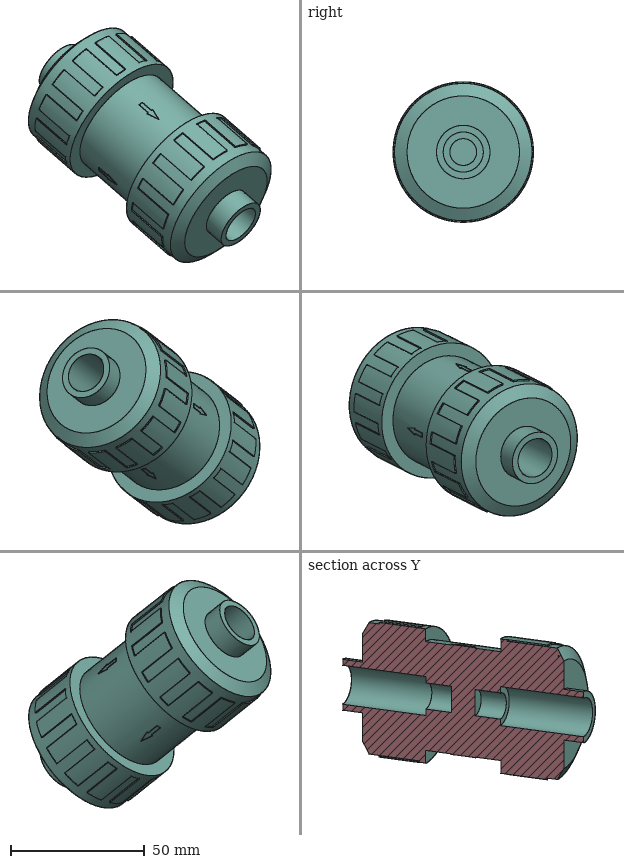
import cadquery as cq
import math


length = 100.0
spigot_radius = 10.0
body_diameter = 42.6
body_radius = body_diameter / 2

bore_radius = 7.5
port_radius = 5.0
centre_wall = 10.0

nut_pair_span = 83.7
nut_pair_gap = 30.9
nut_length = (nut_pair_span - nut_pair_gap) / 2
nut_face_radius = 21.0
nut_radius = 25.7
bevel_length = 2.8
rib_start = 7.0
collar_length = 2.7

grip_diameter = 52.5
grip_radius = grip_diameter / 2
rib_count = 14
rib_pitch_angle = 360 / rib_count
gap_angle = 10.0

arrow_count = 4
arrow_length = 10.0
arrow_head_length = 5.0
arrow_shaft_width = 1.6
arrow_head_width = 2.8
arrow_height = 0.2

nut_outer_x = -nut_pair_span / 2
nut_inner_x = -nut_pair_gap / 2


def cylinder_x(radius, start_x, end_x):
    """Solid cylinder on the X axis between two positions."""
    return cq.Workplane("YZ", origin=(start_x, 0, 0)).circle(radius).extrude(end_x - start_x)


def turn_half(shape):
    """Copy for the other end of the part, turned half a turn about Z."""
    return shape.rotate((0, 0, 0), (0, 0, 1), 180)


def grip_gap(angle):
    """Wedge between two ribs; its leading side is turned by angle from +Z about X."""
    reach = 2 * grip_radius
    near = math.radians(angle)
    far = math.radians(angle - gap_angle)
    gap_length = nut_length - rib_start - collar_length
    return (
        cq.Workplane("YZ", origin=(nut_outer_x + rib_start, 0, 0))
        .moveTo(0, 0)
        .lineTo(-reach * math.sin(near), reach * math.cos(near))
        .lineTo(-reach * math.sin(far), reach * math.cos(far))
        .close()
        .extrude(gap_length)
    )


def make_nut():
    """Union nut at the -X end: bevelled core with ribs and a collar around it."""
    core = (
        cq.Workplane("XY")
        .moveTo(nut_outer_x, 0)
        .lineTo(nut_outer_x, nut_face_radius)
        .lineTo(nut_outer_x + bevel_length, nut_radius)
        .lineTo(nut_inner_x, nut_radius)
        .lineTo(nut_inner_x, 0)
        .close()
        .revolve(360, (0, 0, 0), (1, 0, 0))
    )
    grip = cylinder_x(grip_radius, nut_outer_x + rib_start, nut_inner_x)
    for i in range(rib_count):
        grip = grip.cut(grip_gap(i * rib_pitch_angle))
    return core.union(grip)


def make_arrow():
    """Arrow on the +Z side, with its top following the round of the body."""
    tail_x = -arrow_length / 2
    tip_x = arrow_length / 2
    neck_x = tip_x - arrow_head_length
    outline = [
        (tail_x, -arrow_shaft_width / 2),
        (neck_x, -arrow_shaft_width / 2),
        (neck_x, -arrow_head_width / 2),
        (tip_x, 0),
        (neck_x, arrow_head_width / 2),
        (neck_x, arrow_shaft_width / 2),
        (tail_x, arrow_shaft_width / 2),
    ]
    prism = (
        cq.Workplane("XY", origin=(0, 0, body_radius / 2))
        .polyline(outline)
        .close()
        .extrude(body_radius)
    )
    return prism.intersect(cylinder_x(body_radius + arrow_height, tail_x, tip_x))


def make_passage():
    """Stepped blind passage from the -X end: wide bore, then a narrower port."""
    bore = cylinder_x(bore_radius, -length / 2, nut_inner_x)
    port = cylinder_x(port_radius, nut_inner_x, -centre_wall / 2)
    return bore.union(port)


spigots = cylinder_x(spigot_radius, -length / 2, length / 2)
body = cylinder_x(body_radius, nut_inner_x, -nut_inner_x)
nut = make_nut()
result = spigots.union(body).union(nut).union(turn_half(nut))

arrow = make_arrow()
for i in range(arrow_count):
    result = result.union(arrow.rotate((0, 0, 0), (1, 0, 0), i * 360 / arrow_count))

passage = make_passage()
result = result.cut(passage).cut(turn_half(passage))